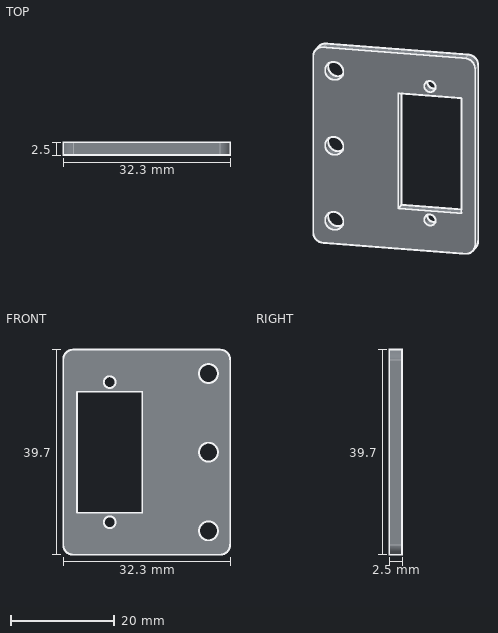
import cadquery as cq

width = 32.3
height = 39.7
thickness = 2.5
corner_radius = 2.0

window_x = -7.15
window_width = 12.55
window_height = 23.35
screw_hole_diameter = 2.22
screw_hole_spacing = 27.08

mount_hole_x = 11.95
mount_hole_diameter = 3.6
mount_hole_pitch = 15.2


def through_holes(plate, diameter, x, heights):
    """Drill a column of holes through the plate at one X position."""
    points = [(x, z) for z in heights]
    return plate.faces("<Y").workplane(origin=(0, 0, 0)).pushPoints(points).hole(diameter)


plate = cq.Workplane("XY").box(width, thickness, height)
plate = plate.edges("|Y").fillet(corner_radius)

window = cq.Workplane("XY").box(window_width, thickness, window_height)
plate = plate.cut(window.translate((window_x, 0, 0)))

screw_heights = (-screw_hole_spacing / 2, screw_hole_spacing / 2)
plate = through_holes(plate, screw_hole_diameter, window_x, screw_heights)

mount_heights = (-mount_hole_pitch, 0, mount_hole_pitch)
result = through_holes(plate, mount_hole_diameter, mount_hole_x, mount_heights)